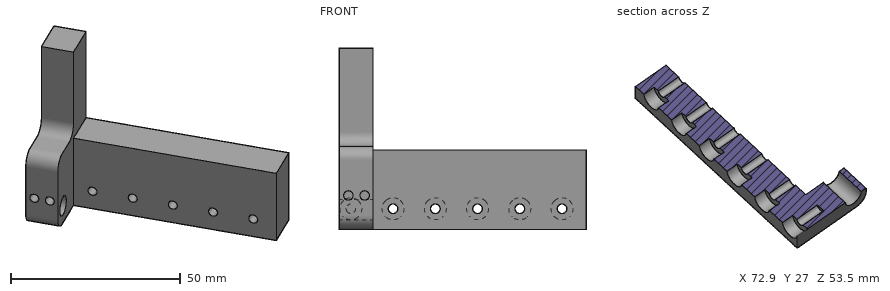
import cadquery as cq

overall_length = 72.9
overall_depth = 27.0
overall_height = 53.5

upright_width = 10.0
bar_thickness = 12.0
bar_height = 23.5
lug_height = 24.6
corner_radius = 4.0
bar_front = overall_depth - bar_thickness

screw_diameter = 2.8
counterbore_diameter = 6.5
counterbore_depth = 4.0
screw_count = 6
screw_pitch = 12.5
first_screw_x = 3.4
screw_z = 6.1

cross_hole_diameter = 6.1
cross_hole_y = 5.0
cross_hole_z = 5.8

lug_hole_diameter = 2.8
lug_hole_depth = 10.0
lug_hole_spacing = 4.8
lug_hole_z = 10.05
lug_hole_middle_x = 5.1


def hole_along_y(x, y_start, z, diameter, depth):
    """Cylinder running toward +Y from y_start."""
    return cq.Workplane(
        cq.Solid.makeCylinder(diameter / 2, depth, cq.Vector(x, y_start, z), cq.Vector(0, 1, 0))
    )


def make_upright():
    """L-shaped side profile with rounded lug corners, extruded along X."""
    profile = [
        (0, 0),
        (overall_depth, 0),
        (overall_depth, overall_height),
        (bar_front, overall_height),
        (bar_front, lug_height),
        (0, lug_height),
    ]
    block = cq.Workplane("YZ").polyline(profile).close().extrude(upright_width)
    lug_corners = block.edges("|X and <Y")
    inner_corner = cq.selectors.NearestToPointSelector((upright_width / 2, bar_front, lug_height))
    return lug_corners.fillet(corner_radius).edges("|X").edges(inner_corner).fillet(corner_radius)


def make_bar():
    return cq.Workplane("XY").box(
        overall_length, bar_thickness, bar_height, centered=False
    ).translate((0, bar_front, 0))


def cut_screw_holes(body):
    """Screw holes as deep as the bar, counterbored from the back."""
    for index in range(screw_count):
        x = first_screw_x + index * screw_pitch
        counterbore_floor = overall_depth - counterbore_depth
        body = body.cut(hole_along_y(x, bar_front, screw_z, screw_diameter, bar_thickness))
        body = body.cut(
            hole_along_y(x, counterbore_floor, screw_z, counterbore_diameter, counterbore_depth)
        )
    return body


def cut_cross_hole(body):
    cutter = (
        cq.Workplane("YZ")
        .center(cross_hole_y, cross_hole_z)
        .circle(cross_hole_diameter / 2)
        .extrude(upright_width)
    )
    return body.cut(cutter)


def cut_lug_holes(body):
    for side in (-1, 1):
        x = lug_hole_middle_x + side * lug_hole_spacing / 2
        body = body.cut(hole_along_y(x, 0, lug_hole_z, lug_hole_diameter, lug_hole_depth))
    return body


result = make_upright().union(make_bar())
result = cut_screw_holes(result)
result = cut_cross_hole(result)
result = cut_lug_holes(result)